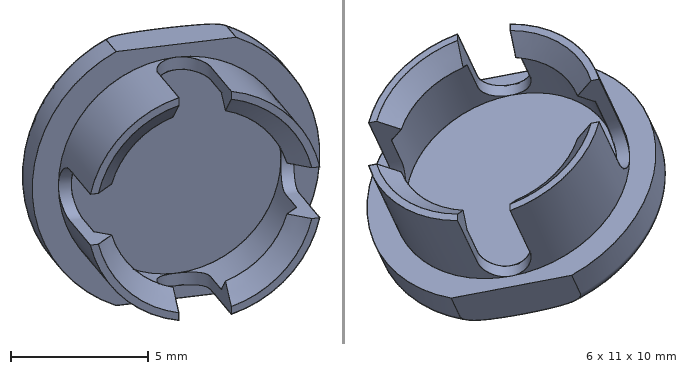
import cadquery as cq
import math

total_length = 6.0
head_radius = 5.5
head_thickness = 2.5
dome_radius = 15.0
rim_fillet = 0.5
width_across_flats = 10.0

skirt_radius = 4.5
bore_radius = 4.0
barb_radius = 3.5
mouth_radius = 4.2
slot_width = 2.0

barb_crest_x = total_length - (mouth_radius - barb_radius)
barb_start_x = barb_crest_x - (bore_radius - barb_radius)


def dome_x(radius):
    """Position along X of the dome surface at a distance from the axis."""
    return dome_radius - math.sqrt(dome_radius**2 - radius**2)


def revolve_about_x(profile):
    return profile.close().revolve(360, (0, 0, 0), (1, 0, 0))


def make_head():
    """Domed disc with a rounded rim and two flats facing up and down."""
    rim_center_radius = head_radius - rim_fillet
    tilt = math.asin(rim_center_radius / (dome_radius - rim_fillet))
    rim_center_x = dome_radius - (dome_radius - rim_fillet) * math.cos(tilt)
    dome_edge_radius = dome_radius * math.sin(tilt)
    dome_mid_radius = dome_edge_radius / 2
    rim_mid_angle = (math.pi / 2 + tilt) / 2
    rim_mid = (
        rim_center_x - rim_fillet * math.cos(rim_mid_angle),
        rim_center_radius + rim_fillet * math.sin(rim_mid_angle),
    )
    profile = (
        cq.Workplane("XY")
        .threePointArc(
            (dome_x(dome_mid_radius), dome_mid_radius),
            (dome_x(dome_edge_radius), dome_edge_radius),
        )
        .threePointArc(rim_mid, (rim_center_x, head_radius))
        .lineTo(head_thickness, head_radius)
        .lineTo(head_thickness, 0)
    )
    disc = revolve_about_x(profile)
    flats = cq.Workplane("XY").box(2 * total_length, 2 * head_radius, width_across_flats)
    return disc.intersect(flats)


def make_skirt():
    """Ring behind the head with a snap barb inside its open end."""
    profile = cq.Workplane("XY").polyline([
        (head_thickness, bore_radius),
        (head_thickness, skirt_radius),
        (total_length, skirt_radius),
        (total_length, mouth_radius),
        (barb_crest_x, barb_radius),
        (barb_start_x, bore_radius),
    ])
    return revolve_about_x(profile)


def make_slot(plane):
    """Round-bottomed slot across the skirt, open at its free end."""
    slot_radius = slot_width / 2
    arc_center_x = head_thickness + slot_radius
    return (
        cq.Workplane(plane)
        .moveTo(total_length, slot_radius)
        .lineTo(arc_center_x, slot_radius)
        .threePointArc((head_thickness, 0), (arc_center_x, -slot_radius))
        .lineTo(total_length, -slot_radius)
        .close()
        .extrude(head_radius, both=True)
    )


skirt = make_skirt()
for slot_plane in ("XY", "XZ"):
    skirt = skirt.cut(make_slot(slot_plane))

result = make_head().union(skirt)